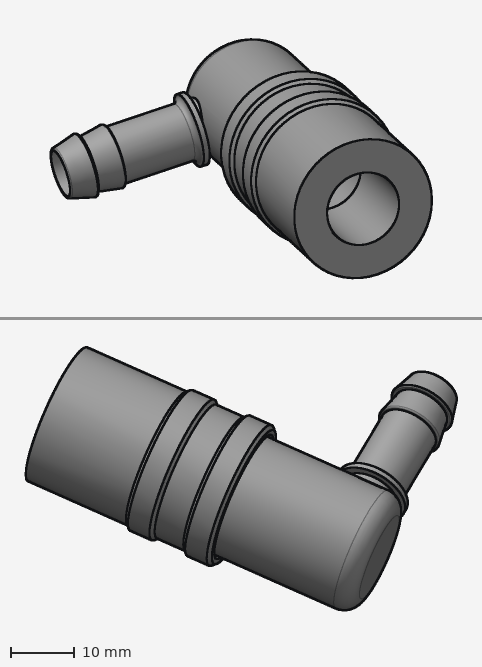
import cadquery as cq
import math

total_length = 56.05

sleeve_dia = 23.0
ring_dia = 24.15
ring_width = 5.0
ring_bevel_run = 0.6
sleeve_start = 23.6
second_ring_start = sleeve_start + 2 * ring_width
ring_starts = [sleeve_start, second_ring_start]
entry_dia = 21.25
entry_depth = ring_width

tube_dia = 20.3
tube_end_round = 3.0
tube_end = second_ring_start + ring_width
passage_dia = 12.0
end_wall = 1.7

tail_x = 6.4
tail_tilt = 12.0
tail_length = 33.05
tail_bore_dia = 7.5
shank_dia = 9.5
collar_dia = 12.0
collar_start = 10.2
collar_width = 1.0
collar_fillet = 1.0
barb_dia = 10.55
barb_starts = [24.1, 28.7]
barb_crest_round = 0.3
tip_round = 0.2
first_barb_end_dia = 9.0
tail_tip_dia = 8.4


def x_cylinder(diameter, start, end):
    """Solid cylinder on the X axis between two X positions."""
    return cq.Workplane("YZ", origin=(start, 0, 0)).circle(diameter / 2).extrude(end - start)


def make_ring(start):
    """Raised ring bevelled down to the sleeve diameter on both sides."""
    end = start + ring_width
    return (
        cq.Workplane("XY")
        .moveTo(start, 0)
        .lineTo(start, sleeve_dia / 2)
        .lineTo(start + ring_bevel_run, ring_dia / 2)
        .lineTo(end - ring_bevel_run, ring_dia / 2)
        .lineTo(end, sleeve_dia / 2)
        .lineTo(end, 0)
        .close()
        .revolve(360, (0, 0, 0), (1, 0, 0))
    )


def make_sleeve():
    """Sleeve with its rings, a socket for the elbow tube and a through passage."""
    sleeve = x_cylinder(sleeve_dia, sleeve_start, total_length)
    for start in ring_starts:
        sleeve = sleeve.union(make_ring(start))
    entry = x_cylinder(entry_dia, sleeve_start, sleeve_start + entry_depth)
    socket = x_cylinder(tube_dia, sleeve_start, tube_end)
    passage = x_cylinder(passage_dia, sleeve_start, total_length)
    return sleeve.cut(entry).cut(socket).cut(passage)


tilt = math.radians(tail_tilt)
tail_plane = cq.Plane(
    origin=(tail_x, 0, 0),
    xDir=(1, 0, 0),
    normal=(0, -math.cos(tilt), -math.sin(tilt)),
)


def on_tail(shape):
    """Move a shape built along the global Z axis onto the tail axis."""
    return cq.Workplane(obj=shape.val().moved(cq.Location(tail_plane)))


def make_tail():
    """Solid hose tail: neck, collar with fillet, shank and two barbs."""
    shank_radius = shank_dia / 2
    collar_end = collar_start + collar_width
    first_barb, second_barb = barb_starts
    crest_radius = barb_dia / 2
    tip_radius = tail_tip_dia / 2
    arc_mid = 1 - math.sqrt(0.5)
    fillet_mid = collar_fillet * arc_mid
    crest_mid = barb_crest_round * arc_mid
    tip_mid = tip_round * arc_mid
    profile = (
        cq.Workplane("XZ")
        .lineTo(shank_radius, 0)
        .lineTo(shank_radius, collar_start)
        .lineTo(collar_dia / 2, collar_start)
        .lineTo(collar_dia / 2, collar_end)
        .lineTo(shank_radius + collar_fillet, collar_end)
        .threePointArc(
            (shank_radius + fillet_mid, collar_end + fillet_mid),
            (shank_radius, collar_end + collar_fillet),
        )
        .lineTo(shank_radius, first_barb)
        .lineTo(crest_radius - barb_crest_round, first_barb)
        .threePointArc(
            (crest_radius - crest_mid, first_barb + crest_mid),
            (crest_radius, first_barb + barb_crest_round),
        )
        .lineTo(first_barb_end_dia / 2, second_barb)
        .lineTo(crest_radius - barb_crest_round, second_barb)
        .threePointArc(
            (crest_radius - crest_mid, second_barb + crest_mid),
            (crest_radius, second_barb + barb_crest_round),
        )
        .lineTo(tip_radius, tail_length - tip_round)
        .threePointArc(
            (tip_radius - tip_mid, tail_length - tip_mid),
            (tip_radius - tip_round, tail_length),
        )
        .lineTo(0, tail_length)
        .close()
    )
    return on_tail(profile.revolve(360, (0, 0, 0), (0, 1, 0)))


def make_elbow():
    """Closed tube with the hose tail on its side, both bored into one passage."""
    tube = x_cylinder(tube_dia, 0, tube_end).faces("<X").edges().fillet(tube_end_round)
    passage = x_cylinder(passage_dia, end_wall, tube_end)
    bore = on_tail(cq.Workplane("XY").circle(tail_bore_dia / 2).extrude(tail_length))
    return tube.union(make_tail()).cut(passage).cut(bore)


elbow = make_elbow()
sleeve = make_sleeve()

result = cq.Compound.makeCompound([elbow.solids().val(), sleeve.solids().val()])